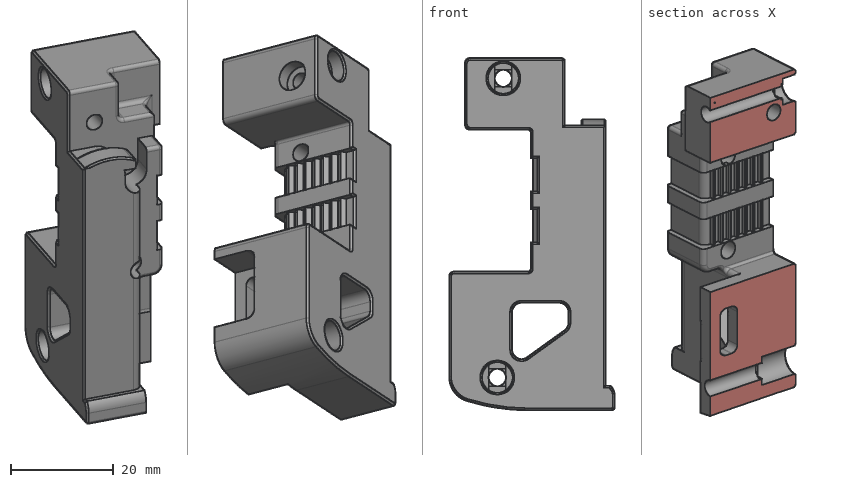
import cadquery as cq
import math

height = 68.75
depth = 21.6
foot_x = 32.4
front_chamfer = 0.4
beyond = 41.25
overlap = 0.7
reach = 0.15
fine_reach = 0.015

head_left = 3.1
head_right = 22.6
head_bottom = 54.7
neck_x = 15.95
shoulder_z = 55.6
wall_x = 30.6
base_top = 27.1
round_corner = 1.0
inner_corner = 0.55
heel_radius = 5.0
sole_radius = 40.0
sole_end_x = 15.4
foot_top = 4.8
foot_round_x = 31.5
foot_radius = 3.0
foot_bottom_round = 0.7

main_depth = 12.5
neck_depth = 18.15
neck_right = 27.2
neck_bottom = 27.3
neck_bottom_round = 2.05
neck_root_round = 1.7
neck_edge_round = 1.0
neck_top_round = 0.75
base_back_x = 12.45
main_corner_round = 2.0

head_back_x = 17.1
head_cut_y = 10.85
head_cut_z = 60.5
head_cut_round = 0.95
head_edge_round = 0.75
head_root_round = 1.7

recess_x = 17.2
recess_back_y = 16.9
recess_corner = 1.6
recess_height = 6.4
recess_bottoms = (32.8, 42.75)
tooth_pitch = 2.0
tooth_count = 7
tooth_start_y = 2.0
tooth_height = 0.8
tooth_width = 1.25

screw_head_d = 6.0
screw_rim = 0.35
head_screw = (10.6, 64.75)
base_screw = (9.4, 6.4)
head_screw_d = 3.3
base_screw_d = 3.4
head_screw_depth = 3.0
base_screw_depth = 8.25
bridge_step = 0.3
side_screw = (5.6, 61.0)
side_screw_d = 3.3
side_head_depth = 2.9
neck_screw_y = 11.75
neck_screw_heights = (30.95, 51.0)
neck_screw_d = 3.6

saddle_radius = 2.95

pad_left = 25.8
pad_back = 11.1
pad_dome_back = 10.25
pad_dome_y = 5.5
pad_top = 56.8
pad_dome_back_z = 55.95
pad_back_z = 55.5
pad_bottom = 53.6
pad_chamfer = 0.35

window_left = 12.3
window_right = 23.3
window_top = 21.0
window_right_bottom = 16.15
window_slope = 35.8
window_radius = 1.85

pocket_depth = 7.55
pocket_bottom = 9.75
pocket_top = 24.35
pocket_y = 12.4
pocket_radius = 1.8
slot_y = 16.9
slot_z = 17.4
slot_width = 4.25
slot_height = 10.0
slot_radius = 1.45


def box(x0, x1, y0, y1, z0, z1):
    return cq.Workplane("XY").box(x1 - x0, y1 - y0, z1 - z0, centered=False).translate((x0, y0, z0))


def cylinder_x(y, z, diameter, x0, x1):
    return cq.Workplane("YZ", origin=(x0, y, z)).circle(diameter / 2).extrude(x1 - x0)


def near(x0, x1, y0, y1, z0, z1):
    """Selector for edges whose middle lies in the given ranges."""
    return cq.selectors.BoxSelector((x0, y0, z0), (x1, y1, z1))


def corner_edge(x, z):
    """Selector for the edge running along Y at one corner of the front outline."""
    return near(x - reach, x + reach, 0, depth, z - reach, z + reach)


def outline_solid():
    """Front outline extruded over the full depth."""
    center_distance = sole_radius - heel_radius
    heel_z = sole_radius - math.sqrt(center_distance**2 - (sole_end_x - heel_radius) ** 2)
    lean = math.asin((sole_end_x - heel_radius) / center_distance)

    def sole_point(angle):
        return sole_end_x - sole_radius * math.sin(angle), sole_radius * (1 - math.cos(angle))

    turn = (math.pi / 2 + lean) / 2
    heel_mid = (heel_radius * (1 - math.sin(turn)), heel_z - heel_radius * math.cos(turn))
    foot_center_x = foot_x - foot_radius
    foot_rise = math.sqrt(foot_radius**2 - (foot_round_x - foot_center_x) ** 2)
    foot_side_z = foot_top - foot_rise
    foot_turn = math.asin(foot_rise / foot_radius) / 2
    foot_mid = (
        foot_center_x + foot_radius * math.cos(foot_turn),
        foot_side_z + foot_radius * math.sin(foot_turn),
    )
    solid = (
        cq.Workplane("XZ")
        .moveTo(sole_end_x, 0)
        .threePointArc(sole_point(lean / 2), sole_point(lean))
        .threePointArc(heel_mid, (0, heel_z))
        .lineTo(0, base_top)
        .lineTo(neck_x, base_top)
        .lineTo(neck_x, head_bottom)
        .lineTo(head_left, head_bottom)
        .lineTo(head_left, height)
        .lineTo(head_right, height)
        .lineTo(head_right, shoulder_z)
        .lineTo(wall_x, shoulder_z)
        .lineTo(wall_x, foot_top)
        .lineTo(foot_round_x, foot_top)
        .threePointArc(foot_mid, (foot_x, foot_side_z))
        .lineTo(foot_x, 0)
        .close()
        .extrude(-depth)
    )
    for corner in ((0, base_top), (head_left, head_bottom), (head_left, height)):
        solid = solid.edges(corner_edge(*corner)).fillet(round_corner)
    for z in (base_top, head_bottom):
        solid = solid.edges(corner_edge(neck_x, z)).fillet(inner_corner)
    return solid.edges(corner_edge(foot_x, 0)).fillet(foot_bottom_round)


def lower_back_cut():
    """Space behind the main plate and neck, rounded around the bottom of the neck."""
    diagonal = math.sqrt(0.5)
    root_y = main_depth + neck_root_round
    root_z = neck_bottom - neck_root_round
    tip_y = neck_depth - neck_bottom_round
    tip_z = neck_bottom + neck_bottom_round
    return (
        cq.Workplane("YZ", origin=(base_back_x, 0, 0))
        .moveTo(main_depth, -beyond)
        .lineTo(main_depth, root_z)
        .threePointArc(
            (root_y - neck_root_round * diagonal, root_z + neck_root_round * diagonal),
            (root_y, neck_bottom),
        )
        .lineTo(tip_y, neck_bottom)
        .threePointArc(
            (tip_y + neck_bottom_round * diagonal, tip_z - neck_bottom_round * diagonal),
            (neck_depth, tip_z),
        )
        .lineTo(neck_depth, head_bottom)
        .lineTo(beyond, head_bottom)
        .lineTo(beyond, -beyond)
        .close()
        .extrude(beyond)
    )


def stepped_body():
    """Outline cut back to the depth of each region."""
    body = outline_solid().cut(lower_back_cut())
    neck_back = box(head_back_x, beyond, neck_depth, beyond, neck_bottom, height + beyond)
    neck_back = neck_back.edges("|Z and <X and <Y").fillet(head_root_round)
    body = body.cut(neck_back)
    body = body.cut(box(neck_right, beyond, main_depth, beyond, -beyond, height + beyond))
    head_cut = box(head_back_x, beyond, head_cut_y, beyond, head_cut_z, height + beyond)
    head_cut = head_cut.edges("|Z and <X and <Y").fillet(head_cut_round)
    head_cut = head_cut.faces("<Z").edges("<X or <Y").fillet(head_cut_round)
    return body.cut(head_cut)


def rounded_edges(body):
    """Rounds on the back edges of the neck, the wall and the top of the head."""
    neck_edges = near(neck_x - reach, neck_x + reach, main_depth + reach, neck_depth + reach,
                      neck_bottom - reach, head_bottom)
    body = body.edges(neck_edges).fillet(neck_edge_round)
    wall_corner = near(wall_x - reach, wall_x + reach, main_depth - reach, main_depth + reach,
                       foot_top, shoulder_z)
    body = body.edges(wall_corner).fillet(main_corner_round)
    neck_corner = near(neck_right - reach, neck_right + reach, neck_depth - reach, neck_depth + reach,
                       neck_bottom, shoulder_z)
    body = body.edges(neck_corner).fillet(neck_top_round)
    shoulder_edges = near(head_right, neck_right + reach, main_depth + reach, neck_depth + reach,
                          shoulder_z - reach, shoulder_z + reach)
    body = body.edges(shoulder_edges).fillet(neck_top_round)
    ledge_back = near(head_back_x, head_right, neck_depth - fine_reach, neck_depth + fine_reach,
                      head_cut_z - reach, head_cut_z + reach)
    ledge_side = near(head_right - fine_reach, head_right + fine_reach, head_cut_y, neck_depth,
                      head_cut_z - reach, head_cut_z + reach)
    body = body.edges(ledge_back + ledge_side).fillet(head_edge_round)
    head_edges = near(head_back_x - reach, head_right + reach, reach, depth - reach,
                      height - reach, height + reach)
    return body.edges(head_edges).fillet(head_edge_round)


def belt_recess(bottom):
    """Recess wrapped around the back corner of the neck, less the belt teeth."""
    top = bottom + recess_height
    band = box(neck_x - overlap, neck_right + overlap, -overlap, neck_depth + overlap, bottom, top)
    core = box(recess_x, neck_right + overlap, -overlap, recess_back_y, bottom, top)
    core = core.edges("|Z and <X and >Y").fillet(recess_corner)
    recess = band.cut(core)
    for i in range(tooth_count):
        start = tooth_start_y + i * tooth_pitch
        tip_x = recess_x - tooth_height
        tooth = (
            cq.Workplane("XY", origin=(0, 0, bottom))
            .polyline([
                (recess_x, start),
                (tip_x, start + tooth_height),
                (tip_x, start + tooth_width),
                (recess_x, start + tooth_width),
            ])
            .close()
            .extrude(recess_height)
        )
        recess = recess.cut(tooth)
    return recess


def window():
    """Triangular window through the plate, with rounded corners."""
    drop = (window_right - window_left) * math.tan(math.radians(window_slope))
    left_bottom = window_right_bottom - drop
    return (
        cq.Workplane("XZ")
        .polyline([
            (window_left, left_bottom),
            (window_left, window_top),
            (window_right, window_top),
            (window_right, window_right_bottom),
        ])
        .close()
        .extrude(-depth)
        .edges("|Y")
        .fillet(window_radius)
    )


def front_screw(x, z, hole_d, bore_depth):
    """Counterbored hole along Y; two bridging steps narrow the bore down to the hole."""
    bore = cq.Workplane("XZ", origin=(x, 0, z)).circle(screw_head_d / 2).extrude(-bore_depth)
    rim = (
        cq.Workplane("XZ", origin=(x, 0, z))
        .circle(screw_head_d / 2 + screw_rim)
        .workplane(offset=-screw_rim)
        .circle(screw_head_d / 2)
        .loft()
    )
    hole = cq.Workplane("XZ", origin=(x, 0, z)).circle(hole_d / 2).extrude(-depth)
    step_y = bore_depth + bridge_step
    half = hole_d / 2
    strip = box(x - half, x + half, 0, step_y, z - screw_head_d, z + screw_head_d).intersect(
        cq.Workplane("XZ", origin=(x, 0, z)).circle(screw_head_d / 2).extrude(-step_y)
    )
    square = box(x - half, x + half, 0, step_y + bridge_step, z - half, z + half)
    return bore.union(rim).union(hole).union(strip).union(square)


def saddle_groove():
    """Round-bottomed groove along X whose front edge rolls over onto the shoulder."""
    low_z = neck_screw_heights[-1]
    high_z = shoulder_z - saddle_radius
    front_y = neck_screw_y - saddle_radius
    back_y = neck_screw_y + saddle_radius
    diagonal = saddle_radius * math.sqrt(0.5)
    return (
        cq.Workplane("YZ", origin=(head_right, 0, 0))
        .moveTo(front_y - saddle_radius, shoulder_z)
        .threePointArc(
            (front_y - saddle_radius + diagonal, high_z + diagonal),
            (front_y, high_z),
        )
        .lineTo(front_y, low_z)
        .threePointArc((neck_screw_y, low_z - saddle_radius), (back_y, low_z))
        .lineTo(back_y, shoulder_z)
        .close()
        .extrude(beyond)
    )


def side_holes():
    """Screw holes along X through the head and the neck."""
    y, z = side_screw
    holes = cylinder_x(y, z, side_screw_d, 0, foot_x)
    holes = holes.union(cylinder_x(y, z, screw_head_d, 0, head_left + side_head_depth))
    for hole_z in neck_screw_heights:
        holes = holes.union(cylinder_x(neck_screw_y, hole_z, neck_screw_d, 0, foot_x))
    return holes


def base_pocket():
    """Pocket open to the left and back of the base, with a slot through its rear wall."""
    pocket = box(-overlap, pocket_depth, pocket_y, depth + overlap, pocket_bottom, pocket_top)
    pocket = pocket.edges("|X and <Y").fillet(pocket_radius)
    slot = box(
        0, base_back_x + overlap,
        slot_y - slot_width / 2, slot_y + slot_width / 2,
        slot_z - slot_height / 2, slot_z + slot_height / 2,
    )
    return pocket.union(slot.edges("|X").fillet(slot_radius))


def shoulder_pad():
    """Domed pad that overhangs the saddle groove."""
    side = (
        cq.Workplane("YZ", origin=(pad_left, 0, 0))
        .moveTo(front_chamfer, pad_bottom)
        .lineTo(front_chamfer, shoulder_z)
        .threePointArc((pad_dome_y, pad_top), (pad_dome_back, pad_dome_back_z))
        .lineTo(pad_back, pad_back_z)
        .lineTo(pad_back, pad_bottom)
        .close()
        .extrude(wall_x - pad_left)
    )
    dome_edges = near(0, foot_x, front_chamfer + reach, pad_dome_back - reach,
                      shoulder_z + reach, pad_top + reach)
    return side.edges(dome_edges).edges("<X or >X").chamfer(pad_chamfer)


body = rounded_edges(stepped_body())
for recess_bottom in recess_bottoms:
    body = body.cut(belt_recess(recess_bottom))
body = body.cut(window())
body = body.faces("<Y").chamfer(front_chamfer)
body = body.cut(front_screw(*head_screw, head_screw_d, head_screw_depth))
body = body.cut(front_screw(*base_screw, base_screw_d, base_screw_depth))
body = body.cut(saddle_groove())
body = body.union(shoulder_pad())
body = body.cut(side_holes())
result = body.cut(base_pocket())